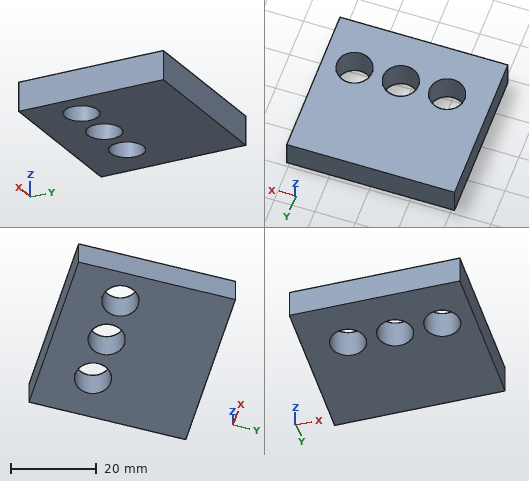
import cadquery as cq

length = 41.4
width = 38.1
thickness = 7.5

hole_diameter = 8.65
hole_count = 3
hole_pitch = 11.43
first_hole_x = 10.7
hole_row_y = 12.4

plate = cq.Workplane("XY").box(length, width, thickness, centered=False)

hole_centers = [(first_hole_x + i * hole_pitch, hole_row_y) for i in range(hole_count)]
holes = (
    cq.Workplane("XY")
    .pushPoints(hole_centers)
    .circle(hole_diameter / 2)
    .extrude(thickness)
)

result = plate.cut(holes)